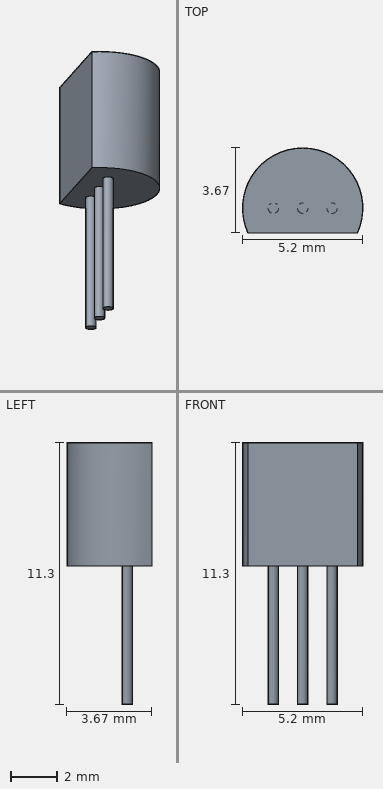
import cadquery as cq
import math

total_height = 11.3
housing_height = 5.33
housing_diameter = 5.2
housing_depth = 3.67
lead_diameter = 0.45
lead_pitch = 1.27
lead_count = 3

housing_radius = housing_diameter / 2
flat_y = housing_radius - housing_depth
flat_half_width = math.sqrt(housing_radius**2 - flat_y**2)
lead_length = total_height - housing_height


def make_housing():
    """Round housing with a flat front, its bottom face at Z = 0."""
    return (
        cq.Workplane("XY")
        .moveTo(-flat_half_width, flat_y)
        .threePointArc((0, housing_radius), (flat_half_width, flat_y))
        .close()
        .extrude(housing_height)
    )


def make_lead(x):
    """Round lead hanging from the bottom face of the housing."""
    return cq.Workplane("XY").center(x, 0).circle(lead_diameter / 2).extrude(-lead_length)


housing = make_housing()

leads = []
for index in range(lead_count):
    lead_x = (index - (lead_count - 1) / 2) * lead_pitch
    leads.append(make_lead(lead_x))

result = cq.Compound.makeCompound([housing.val(), *[lead.val() for lead in leads]])